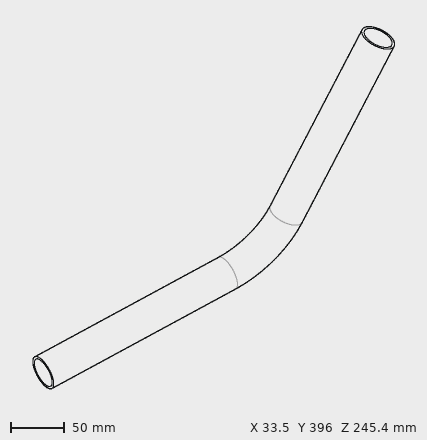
import cadquery as cq
import math

outer_diameter = 33.5
inner_diameter = 28.5
overall_length = 396.0
bend_radius = 78.0
bend_angle = 60.0

sin_bend = math.sin(math.radians(bend_angle))
cos_bend = math.cos(math.radians(bend_angle))
end_overhang = outer_diameter / 2 * sin_bend
leg_length = (overall_length - bend_radius * sin_bend - end_overhang) / (1 + cos_bend)

bend_start = (leg_length, 0)
bend_middle = (
    leg_length + bend_radius * math.sin(math.radians(bend_angle / 2)),
    bend_radius * (1 - math.cos(math.radians(bend_angle / 2))),
)
bend_end = (
    leg_length + bend_radius * sin_bend,
    bend_radius * (1 - cos_bend),
)
upper_end = (
    bend_end[0] + leg_length * cos_bend,
    bend_end[1] + leg_length * sin_bend,
)
centreline = (
    cq.Workplane("YZ")
    .lineTo(*bend_start)
    .threePointArc(bend_middle, bend_end)
    .lineTo(*upper_end)
)

result = (
    cq.Workplane("XZ")
    .circle(outer_diameter / 2)
    .circle(inner_diameter / 2)
    .sweep(centreline)
)